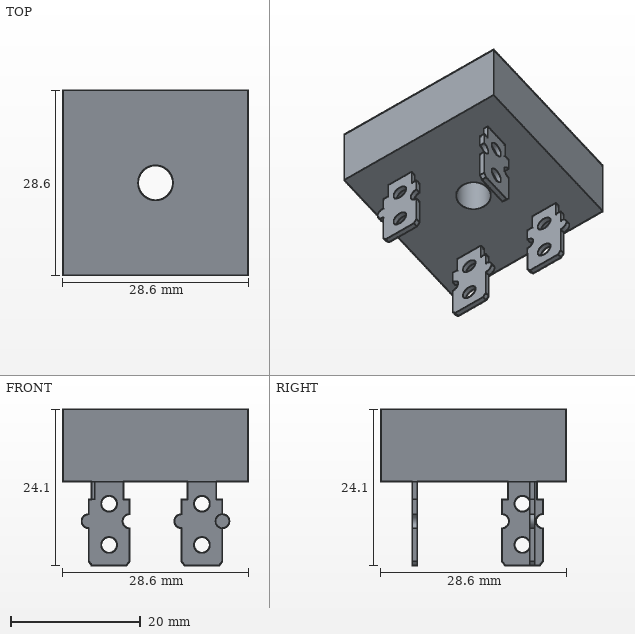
import cadquery as cq

body_side = 28.55
total_height = 24.1
body_height = 11.17
bolt_hole_diameter = 5.33

blade_length = total_height - body_height
blade_width = 6.35
blade_thickness = 0.81
neck_width = 4.5
neck_length = 2.75
tip_chamfer_across = 0.5
tip_chamfer_along = 0.65
eyelet_diameter = 2.4
eyelet_drops = (3.41, 9.76)
lobe_radius = 1.08
lobe_drop = 6.1

row_x = 7.15
row_y = 9.05
turned_x = -9.48
turned_y = 7.54

BOTH_EDGES = (-1, 1)


def make_body():
    """Square block with the central bolt hole."""
    block = cq.Workplane("XY").rect(body_side, body_side).extrude(body_height)
    return block.faces(">Z").workplane().hole(bolt_hole_diameter)


def blade_discs(points, radius):
    """Discs through the full blade thickness at points of the blade's plane."""
    return (
        cq.Workplane("XZ")
        .pushPoints(points)
        .circle(radius)
        .extrude(blade_thickness / 2, both=True)
    )


def make_terminal(notched_edges, lobed_edges=()):
    """Flat blade in the XZ plane, centred on the Z axis and hanging from Z = 0."""
    half_width = blade_width / 2
    half_neck = neck_width / 2
    tip_half_width = half_width - tip_chamfer_across
    chamfer_top = tip_chamfer_along - blade_length
    blade = (
        cq.Workplane("XZ")
        .moveTo(-half_neck, 0)
        .lineTo(-half_neck, -neck_length)
        .lineTo(-half_width, -neck_length)
        .lineTo(-half_width, chamfer_top)
        .lineTo(-tip_half_width, -blade_length)
        .lineTo(tip_half_width, -blade_length)
        .lineTo(half_width, chamfer_top)
        .lineTo(half_width, -neck_length)
        .lineTo(half_neck, -neck_length)
        .lineTo(half_neck, 0)
        .close()
        .extrude(blade_thickness / 2, both=True)
    )
    eyelets = blade_discs([(0, -drop) for drop in eyelet_drops], eyelet_diameter / 2)
    notches = blade_discs([(side * half_width, -lobe_drop) for side in notched_edges], lobe_radius)
    blade = blade.cut(eyelets).cut(notches)
    if lobed_edges:
        lobes = blade_discs([(side * half_width, -lobe_drop) for side in lobed_edges], lobe_radius)
        blade = blade.union(lobes)
    return blade


front_terminal = make_terminal(notched_edges=(1,), lobed_edges=(-1,))
rear_terminal = front_terminal.rotate((0, 0, 0), (0, 0, 1), 180)
turned_terminal = make_terminal(notched_edges=BOTH_EDGES).rotate((0, 0, 0), (0, 0, 1), 90)

result = (
    make_body()
    .union(front_terminal.translate((-row_x, -row_y, 0)))
    .union(front_terminal.translate((row_x, -row_y, 0)))
    .union(rear_terminal.translate((row_x, row_y, 0)))
    .union(turned_terminal.translate((turned_x, turned_y, 0)))
)